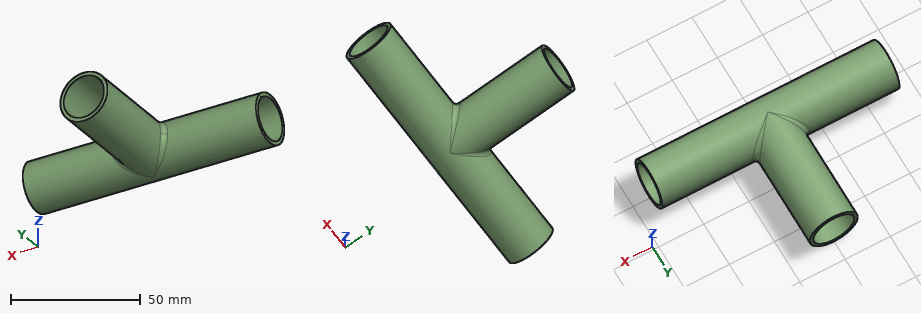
import cadquery as cq

TUBE_DIAMETER = 21.3
BORE_DIAMETER = 18.1
RUN_LENGTH = 105.0
BRANCH_LENGTH = 52.0
CROTCH_RADIUS = 2.0


def tee_of_cylinders(diameter):
    """Return a run cylinder joined to a branch cylinder of the same diameter."""
    run = cq.Workplane("YZ").circle(diameter / 2).extrude(RUN_LENGTH / 2, both=True)
    branch = cq.Workplane("XZ").circle(diameter / 2).extrude(-BRANCH_LENGTH)
    return run.union(branch)


def round_crotch(tee):
    """Fillet the mitre curves where the branch meets the run."""
    mitre_curves = tee.edges("%ELLIPSE")
    return mitre_curves.fillet(CROTCH_RADIUS)


outside = round_crotch(tee_of_cylinders(TUBE_DIAMETER))
bores = tee_of_cylinders(BORE_DIAMETER)
result = outside.cut(bores)